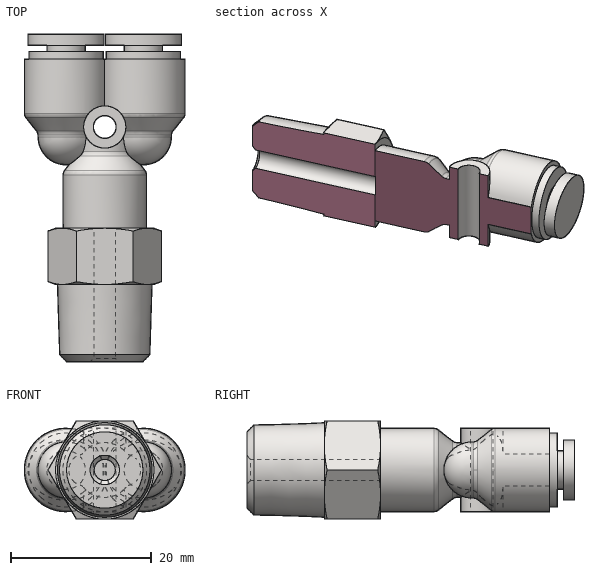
import cadquery as cq
import math


thread_length = 11.0
thread_tip_diameter = 12.86
thread_taper = 1 / 16
thread_chamfer = 1.0
hex_length = 8.0
hex_across_flats = 14.0
hex_chamfer_start_radius = hex_across_flats / 2
hex_chamfer_height = 0.4
bore_diameter = 3.0
bore_mouth_diameter = 4.18
bore_mouth_depth = 0.5

stem_diameter = 11.9
stem_neck_diameter = 7.8
stem_shoulder_y = 26.95
stem_cone_length = 2.6
stem_shoulder_round = 1.05

branch_pitch = 11.0
branch_diameter = 11.9
ball_diameter = 8.0
ball_center_y = 32.0
branch_cone_start_y = 32.55
branch_cone_length = 2.45
branch_shoulder_round = 0.9
branch_end_y = 43.05

eye_center_y = 33.4
eye_diameter = 6.0
eye_hole_diameter = 3.2
eye_height = stem_diameter

collar_diameter = 10.6
collar_thickness = 1.1
sleeve_neck_diameter = 5.5
sleeve_neck_length = 0.85
button_width = 10.85
button_height = 8.6
button_thickness = 1.6

rim_margin = 0.1

stud_end_y = thread_length + hex_length
collar_start_y = branch_end_y
sleeve_start_y = collar_start_y + collar_thickness
branch_centers_x = [-branch_pitch / 2, branch_pitch / 2]


def revolve_about_y(profile_points):
    """Turn a closed (radius, y) outline a full revolution about the Y axis."""
    outline = cq.Workplane("XY").polyline(profile_points).close()
    return outline.revolve(360, (0, 0, 0), (0, 1, 0))


def plane_at(x, y):
    """Work plane square to the Y axis with its normal toward +Y."""
    return cq.Workplane(cq.Plane(origin=(x, y, 0), xDir=(1, 0, 0), normal=(0, 1, 0)))


def make_hexagon():
    corner_radius = hex_across_flats / math.sqrt(3)
    hexagon = plane_at(0, thread_length).polygon(6, 2 * corner_radius).extrude(hex_length)
    chamfer_envelope = revolve_about_y([
        (0, thread_length),
        (hex_chamfer_start_radius, thread_length),
        (corner_radius, thread_length + hex_chamfer_height),
        (corner_radius, stud_end_y - hex_chamfer_height),
        (hex_chamfer_start_radius, stud_end_y),
        (0, stud_end_y),
    ])
    return hexagon.intersect(chamfer_envelope)


def make_thread():
    tip_radius = thread_tip_diameter / 2
    base_radius = tip_radius + thread_taper / 2 * (thread_length - thread_chamfer)
    return revolve_about_y([
        (0, 0),
        (tip_radius - thread_chamfer, 0),
        (tip_radius, thread_chamfer),
        (base_radius, thread_length),
        (0, thread_length),
    ])


def make_stud():
    bore = revolve_about_y([
        (0, 0),
        (bore_mouth_diameter / 2, 0),
        (bore_diameter / 2, bore_mouth_depth),
        (bore_diameter / 2, stud_end_y),
        (0, stud_end_y),
    ])
    return make_thread().union(make_hexagon()).cut(bore)


def make_stem():
    stem_radius = stem_diameter / 2
    neck_radius = stem_neck_diameter / 2
    cone_end_y = stem_shoulder_y + stem_cone_length
    stem = revolve_about_y([
        (0, stud_end_y),
        (stem_radius, stud_end_y),
        (stem_radius, stem_shoulder_y),
        (neck_radius, cone_end_y),
        (neck_radius, eye_center_y),
        (0, eye_center_y),
    ])
    cone_rims = cq.selectors.BoxSelector(
        (-stem_radius, stem_shoulder_y - rim_margin, -stem_radius),
        (stem_radius, cone_end_y + rim_margin, stem_radius),
    )
    return stem.edges("%CIRCLE").edges(cone_rims).fillet(stem_shoulder_round)


def make_branch(center_x):
    ball_radius = ball_diameter / 2
    branch_radius = branch_diameter / 2
    cone_end_y = branch_cone_start_y + branch_cone_length
    barrel = revolve_about_y([
        (0, ball_center_y),
        (ball_radius, ball_center_y),
        (ball_radius, branch_cone_start_y),
        (branch_radius, cone_end_y),
        (branch_radius, branch_end_y),
        (0, branch_end_y),
    ])
    cone_rims = cq.selectors.BoxSelector(
        (-branch_radius, branch_cone_start_y - rim_margin, -branch_radius),
        (branch_radius, cone_end_y + rim_margin, branch_radius),
    )
    barrel = barrel.edges("%CIRCLE").edges(cone_rims).fillet(branch_shoulder_round)
    ball = cq.Workplane("XY").sphere(ball_radius).translate((0, ball_center_y, 0))
    return barrel.union(ball).translate((center_x, 0, 0))


def make_housing():
    housing = make_stem()
    for center_x in branch_centers_x:
        housing = housing.union(make_branch(center_x))
    eye_base = cq.Workplane("XY", origin=(0, eye_center_y, -eye_height / 2))
    eye = eye_base.circle(eye_diameter / 2).extrude(eye_height)
    eye_hole = eye_base.circle(eye_hole_diameter / 2).extrude(eye_height)
    return housing.union(eye).cut(eye_hole)


def make_collar(center_x):
    return plane_at(center_x, collar_start_y).circle(collar_diameter / 2).extrude(collar_thickness)


def make_release_sleeve(center_x):
    neck = plane_at(center_x, sleeve_start_y).circle(sleeve_neck_diameter / 2).extrude(sleeve_neck_length)
    button_base = plane_at(center_x, sleeve_start_y + sleeve_neck_length)
    button = button_base.ellipse(button_width / 2, button_height / 2).extrude(button_thickness)
    return neck.union(button)


stud = make_stud()
housing = make_housing()
collars = [make_collar(center_x) for center_x in branch_centers_x]
release_sleeves = [make_release_sleeve(center_x) for center_x in branch_centers_x]

result = cq.Compound.makeCompound([
    stud.val(),
    housing.val(),
    *[collar.val() for collar in collars],
    *[sleeve.val() for sleeve in release_sleeves],
])